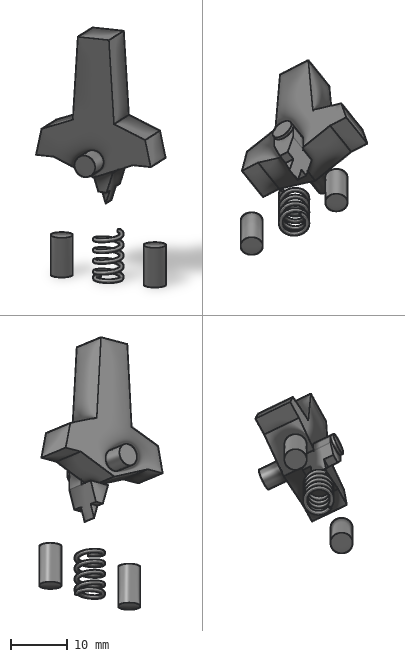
import cadquery as cq

top_z = 46.35
neck_z = 30.95
shoulder_z = 28.6
pivot_z = 23.7
keel_z = 20.65
top_half_width = 3.0
neck_half_width = 4.0
shoulder_half_width = 10.0
wing_half_width = 11.1
underside_half_width = 7.65
lever_thickness = 7.0
lever_back_y = lever_thickness / 2

pin_diameter = 4.0
pin_length = 15.0

finger_half_width = pin_diameter / 2
finger_front_y = 0.75
finger_rear_y = 6.9
finger_step_front_z = 16.9
finger_step_rear_z = 17.0
tip_front_y = 2.25
tip_rear_y = 5.0
tip_z = 14.37

post_diameter = 4.0
post_height = 7.35
post_offset = 9.0
row_y = lever_back_y

wire_diameter = 0.75
spring_outer_diameter = 5.5
spring_pitch = 2.0
flat_angle = 210
coil_angle = 1500
coil_radius = (spring_outer_diameter - wire_diameter) / 2
wire_radius = wire_diameter / 2


def extrude_outline(points, front_y, rear_y):
    """Extrude an XZ outline between two Y positions."""
    outline = cq.Workplane("XZ", origin=(0, front_y, 0)).polyline(points).close()
    return outline.extrude(front_y - rear_y)


def taper_half_width(z):
    """Half width of the finger's point at height z."""
    return finger_half_width * (z - tip_z) / (keel_z - tip_z)


def make_finger_block(front_y, rear_y, block_top_z, step_z):
    """Upper part of the finger, cut off flat at step_z."""
    step_half_width = taper_half_width(step_z)
    right_side = [
        (step_half_width, step_z),
        (finger_half_width, keel_z),
    ]
    if block_top_z > keel_z:
        right_side.append((finger_half_width, block_top_z))
    left_side = [(-x, z) for x, z in reversed(right_side)]
    return extrude_outline(right_side + left_side, front_y, rear_y)


def make_finger():
    front = make_finger_block(finger_front_y, lever_back_y, keel_z, finger_step_front_z)
    rear = make_finger_block(lever_back_y, finger_rear_y, pivot_z, finger_step_rear_z)
    tip_outline = [(0, tip_z), (finger_half_width, keel_z), (-finger_half_width, keel_z)]
    tip = extrude_outline(tip_outline, tip_front_y, tip_rear_y)
    return rear.union(front).union(tip)


def make_lever():
    right_side = [
        (underside_half_width, pivot_z),
        (wing_half_width, pivot_z),
        (shoulder_half_width, shoulder_z),
        (neck_half_width, neck_z),
        (top_half_width, top_z),
    ]
    left_side = [(-x, z) for x, z in reversed(right_side)]
    outline = [(0, keel_z)] + right_side + left_side
    plate = extrude_outline(outline, -lever_thickness / 2, lever_back_y)
    pin = (
        cq.Workplane("XZ", origin=(0, 0, pivot_z))
        .circle(pin_diameter / 2)
        .extrude(pin_length / 2, both=True)
    )
    return plate.union(pin).union(make_finger())


def make_post(side):
    """One post; side is -1 or +1 along X."""
    return (
        cq.Workplane("XY", origin=(side * post_offset, row_y, 0))
        .circle(post_diameter / 2)
        .extrude(post_height)
    )


def make_wire_section():
    """Round wire section at the +X side of the coil, with the coil axis on Z."""
    return cq.Workplane("XZ").center(coil_radius, 0).circle(wire_radius)


def make_spring():
    flat_turn = make_wire_section().revolve(flat_angle, (-coil_radius, 0), (-coil_radius, -1))
    helix = cq.Wire.makeHelix(spring_pitch, spring_pitch * coil_angle / 360, coil_radius)
    coil = make_wire_section().sweep(cq.Workplane(helix), isFrenet=True)
    return flat_turn.union(coil).translate((0, row_y, wire_radius))


lever = make_lever()
posts = [make_post(side) for side in (-1, 1)]
spring = make_spring()

result = cq.Compound.makeCompound(
    [*lever.solids().vals(), *spring.solids().vals(), *[post.val() for post in posts]]
)